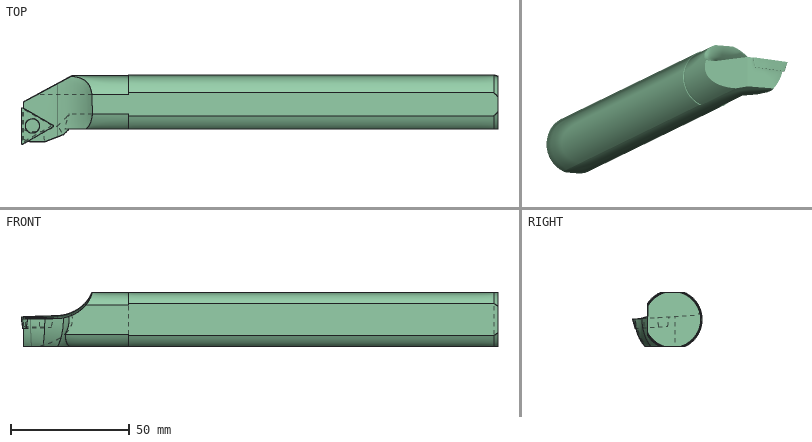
import cadquery as cq
import math

overall_length = 201.6
bar_height = 23.0
shank_dia = 25.0
neck_dia = 24.4
side_flat_y = -10.5
neck_end_x = 45.4
end_chamfer_length = 1.8
end_chamfer_depth = 0.6
mid_z = bar_height / 2

nose_x = 0.8
nose_back_y = 1.0
back_end_x = 21.5
front_y = -16.0
front_start_x = 3.8
front_end_x = 9.9
nose_slant = 12.0
front_slant = 21.0
heel_x = 17.7
heel_slant = 45.0
relief_radius = 17.3

seat_tip_z = 11.7
seat_tilt = 3.3
seat_end_x = 15.3
runout_radius = 15.5

insert_inradius = 4.6
insert_corner_radius = 0.5
insert_thickness = 4.0
insert_clearance = 7.0
insert_hole_dia = 6.0
tip_y = -17.0


def bar_section(diameter, start_x, end_x):
    """Round bar along X with top, bottom and -Y flats."""
    length = end_x - start_x
    bar = cq.Workplane("YZ", origin=(start_x, 0, mid_z)).circle(diameter / 2).extrude(length)
    envelope = cq.Workplane("XY").box(length, diameter, bar_height, centered=False)
    return bar.intersect(envelope.translate((start_x, side_flat_y, 0)))


def make_shank():
    radius = shank_dia / 2
    blank = bar_section(shank_dia, neck_end_x, overall_length)
    chamfered = (
        cq.Workplane("XY")
        .moveTo(neck_end_x, 0)
        .lineTo(neck_end_x, radius)
        .lineTo(overall_length - end_chamfer_length, radius)
        .lineTo(overall_length, radius - end_chamfer_depth)
        .lineTo(overall_length, 0)
        .close()
        .revolve(360, (0, 0, 0), (1, 0, 0))
        .translate((0, 0, mid_z))
    )
    return blank.intersect(chamfered)


def back_clearance():
    """Everything behind the slanted back face, to be cut from the bar."""
    back_y = neck_dia / 2
    slope = (back_y - nose_back_y) / (back_end_x - nose_x)
    overrun = 4.0
    return (
        cq.Workplane("XY")
        .moveTo(nose_x - overrun, nose_back_y - overrun * slope)
        .lineTo(back_end_x + overrun, back_y + overrun * slope)
        .lineTo(nose_x - overrun, back_y + overrun * slope)
        .close()
        .extrude(bar_height)
    )


def relief_cylinder(touch_x, touch_y, angle):
    """Cylinder whose side touches the head's front at the given point, turned by angle about Z."""
    half_length = 4 * relief_radius
    cylinder = cq.Workplane("YZ").circle(relief_radius).extrude(half_length, both=True)
    return (
        cylinder.translate((0, relief_radius, 0))
        .rotate((0, 0, 0), (0, 0, 1), angle)
        .translate((touch_x, touch_y, mid_z))
    )


def make_head():
    """Head block, its front bounded by four mitred relief cylinders."""
    heel_y = front_y + (heel_x - front_end_x) * math.tan(math.radians(front_slant))
    end_x = heel_x + (side_flat_y - heel_y) / math.tan(math.radians(heel_slant))
    reliefs = (
        (front_start_x, front_y, -nose_slant),
        (front_end_x, front_y, 0),
        (front_end_x, front_y, front_slant),
        (heel_x, heel_y, heel_slant),
    )
    block = cq.Workplane("XY").box(end_x - nose_x, -front_y, bar_height, centered=False)
    head = block.translate((nose_x, front_y, 0))
    for touch_x, touch_y, angle in reliefs:
        head = head.intersect(relief_cylinder(touch_x, touch_y, angle))
    return head


def tilt_to_seat(body):
    """Move a body built on z = 0, with the tip at the origin, onto the tilted seat face."""
    return body.rotate((0, 0, 0), (1, 0, 0), seat_tilt).translate((0, tip_y, seat_tip_z))


def seat_clearance():
    """Space above the seat face, closed by the round run-out."""
    arc_middle = math.radians(45)
    overrun = 10.0
    width = 4 * shank_dia
    profile = (
        cq.Workplane("XZ")
        .moveTo(-overrun, 0)
        .lineTo(seat_end_x, 0)
        .threePointArc(
            (
                seat_end_x + runout_radius * math.sin(arc_middle),
                runout_radius * (1 - math.cos(arc_middle)),
            ),
            (seat_end_x + runout_radius, runout_radius),
        )
        .lineTo(-overrun, runout_radius)
        .close()
    )
    return tilt_to_seat(profile.extrude(width / 2, both=True))


insert_centre_x = insert_inradius
insert_centre_y = (insert_inradius - insert_corner_radius) * math.sqrt(3) + insert_corner_radius


def insert_blank():
    """Tapered triangle with rounded corners and one edge along x = 0."""
    circumradius = 2 * insert_inradius
    blank = (
        cq.Workplane("XY")
        .polygon(3, 2 * circumradius)
        .extrude(-insert_thickness, taper=insert_clearance)
        .edges("not(<Z or >Z)")
        .fillet(insert_corner_radius)
    )
    return tilt_to_seat(blank.translate((insert_centre_x, insert_centre_y, 0)))


def insert_post():
    """Round post that fills the insert's centre hole."""
    post = cq.Workplane("XY").circle(insert_hole_dia / 2).extrude(-insert_thickness)
    return tilt_to_seat(post.translate((insert_centre_x, insert_centre_y, 0)))


def make_holder():
    neck = bar_section(neck_dia, nose_x, neck_end_x).cut(back_clearance())
    holder = neck.union(make_head()).union(make_shank())
    return holder.cut(seat_clearance()).cut(insert_blank()).union(insert_post())


def make_insert():
    return insert_blank().cut(insert_post())


holder = make_holder()
cutting_insert = make_insert()
result = cq.Compound.makeCompound([holder.val(), cutting_insert.val()])